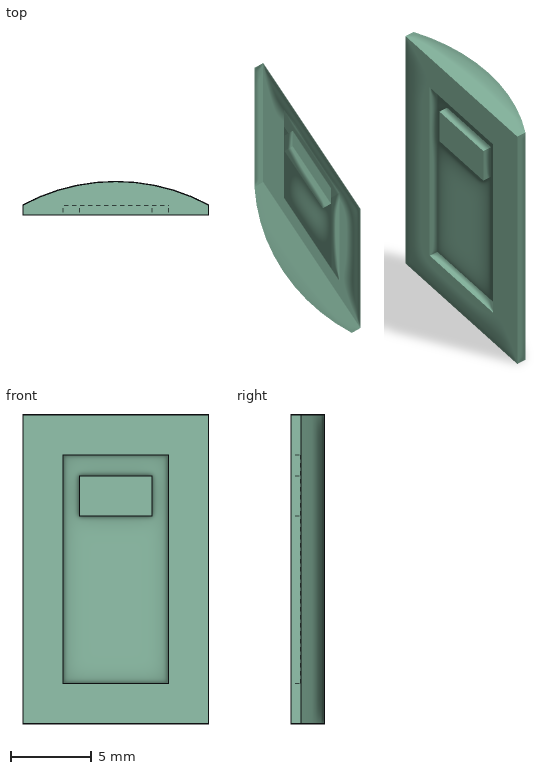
import cadquery as cq

width = 11.6
height = 19.3
thickness = 2.1
edge_thickness = 0.64

border = 2.5
pocket_depth = 0.6
pocket_width = width - 2 * border
pocket_height = height - 2 * border

block_width = 4.55
block_height = 2.5
block_top_gap = 1.31

half_width = width / 2
block_center_z = height / 2 - border - block_top_gap - block_height / 2


def front_box(size_x, size_z, center_z):
    """Box centred on X, from the front face back to the pocket floor."""
    box = cq.Workplane("XY").box(size_x, pocket_depth, size_z, centered=(True, False, True))
    return box.translate((0, 0, center_z))


plate = (
    cq.Workplane("XY", origin=(0, 0, -height / 2))
    .moveTo(-half_width, 0)
    .lineTo(half_width, 0)
    .lineTo(half_width, edge_thickness)
    .threePointArc((0, thickness), (-half_width, edge_thickness))
    .close()
    .extrude(height)
)

pocket = front_box(pocket_width, pocket_height, 0)
block = front_box(block_width, block_height, block_center_z)

result = plate.cut(pocket).union(block)